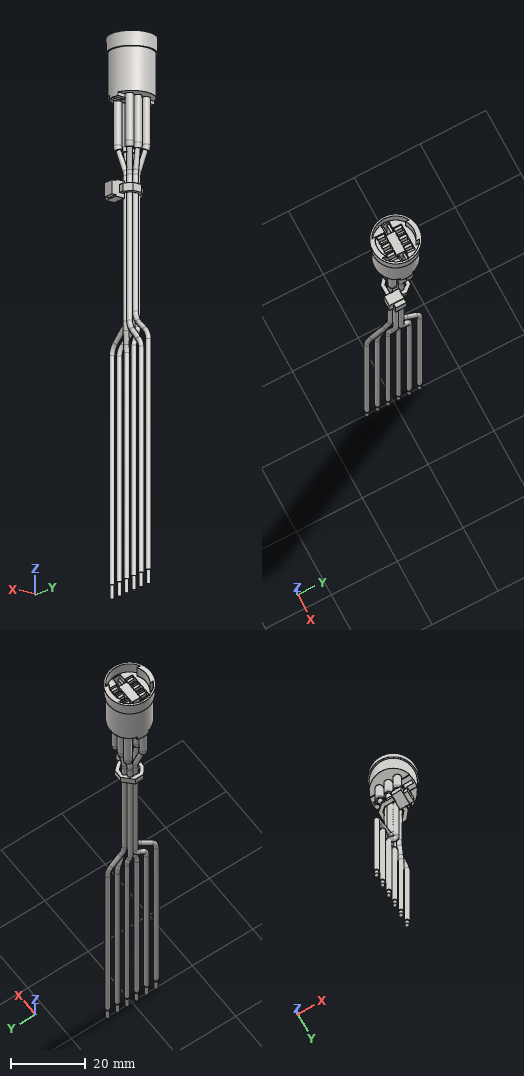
import cadquery as cq
import math

total_length = 157.1
body_diameter = 13.0
body_length = 17.0
collar_diameter = 14.0
collar_bottom_diameter = 13.8
collar_height = 4.3
lug_width = 3.8
lug_height = 1.0

cavity_radius = 6.4
cavity_depth = 4.0
key_width = 6.1
key_inner_radius = 5.5

latch_inner_x = 3.1
latch_outer_x = 6.0
latch_width = 2.4
latch_depth = 2.0
latch_hole_width = 1.0

cell_pitch = 2.8
row_offset = 2.6
cell_size = 2.4
cell_depth = 1.0
contact_slot_width = 0.8
contact_slot_depth = 6.0

wire_diameter = 1.6
seal_diameter = 2.4
conductor_diameter = 1.2
conductor_length = 4.0
wire_entry_depth = 1.5
bundle_radius = 1.62
fan_pitch = 3.2
fan_center_y = -0.75
gather_top_z = -31.2
gather_bottom_z = -38.5
gather_bend = 0.7

tie_center_z = -43.4
band_height = 2.3
band_thickness = 1.2
band_outline = [
    (-3.4, 0.55), (-3.4, -2.2), (-1.3, -4.0), (2.3, -4.0),
    (4.0, -2.3), (4.0, 1.3), (2.2, 3.4), (-0.55, 3.4),
]
head_height = 4.9
head_corner_x = 2.3
head_corner_y = -4.8
head_size_x = 3.0
head_size_y = 4.6
pawl_size_x = 1.3
pawl_size_y = 3.3
pawl_height = 4.1

hexagon_step = math.radians(60)
bundle_x = bundle_radius * math.sin(hexagon_step)
bundle_y = bundle_radius * math.cos(hexagon_step)

wires = [
    (0, -1, (0, -bundle_radius), 0, -79.6, -85.9, 2.05),
    (-1, -1, (-bundle_x, -bundle_y), 1, -81.8, -87.1, 1.8),
    (1, -1, (bundle_x, -bundle_y), 2, -81.8, -87.6, 1.2),
    (-1, 1, (-bundle_x, bundle_y), 3, -82.7, -86.9, 0.7),
    (1, 1, (bundle_x, bundle_y), 4, -82.2, -87.4, 1.4),
    (0, 1, (0, bundle_radius), 5, -80.0, -85.6, 1.9),
]


def block(x_min, x_max, y_min, y_max, z_min, z_max):
    size = (x_max - x_min, y_max - y_min, z_max - z_min)
    return cq.Workplane("XY").box(*size, centered=False).translate((x_min, y_min, z_min))


def cylinder(radius, z_min, z_max):
    return cq.Workplane("XY").workplane(offset=z_min).circle(radius).extrude(z_max - z_min)


def make_housing():
    housing = cylinder(body_diameter / 2, -body_length, 0)
    collar = cq.Workplane("XY").circle(collar_diameter / 2).workplane(offset=-collar_height)
    housing = housing.union(collar.circle(collar_bottom_diameter / 2).loft())

    lug_bottom = -body_length - lug_height
    lug = cylinder(body_diameter / 2, lug_bottom, -body_length)
    lug = lug.intersect(
        block(-body_diameter, body_diameter, -lug_width / 2, lug_width / 2, lug_bottom, -body_length)
    )
    housing = housing.union(lug)

    cavity = cylinder(cavity_radius, -cavity_depth, 0)
    keys = block(-key_width / 2, key_width / 2, -cavity_radius, cavity_radius, -cavity_depth, 0)
    keys = keys.cut(cylinder(key_inner_radius, -cavity_depth, 0))
    housing = housing.cut(cavity.cut(keys))

    for side in (-1, 1):
        x_min, x_max = sorted((side * latch_inner_x, side * latch_outer_x))
        for width, bottom in (
            (latch_width, -cavity_depth - latch_depth),
            (latch_hole_width, lug_bottom),
        ):
            housing = housing.cut(block(x_min, x_max, -width / 2, width / 2, bottom, -cavity_depth))

    for column in (-1, 0, 1):
        for row in (-1, 1):
            x = column * cell_pitch
            y = row * row_offset
            for width, depth in ((cell_size, cell_depth), (contact_slot_width, contact_slot_depth)):
                cell = cq.Workplane("XY").box(width, cell_size, depth, centered=(True, True, False))
                housing = housing.cut(cell.translate((x, y, -cavity_depth - depth)))
    return housing


def bent_path(corners, bends):
    """Straight edges and corner arcs up to the end of the last bend, and that end point.

    Each arc takes its bend length off both legs of its corner.
    """
    points = [cq.Vector(*corner) for corner in corners]
    edges = []
    position = points[0]
    for before, corner, after, bend in zip(points, points[1:], points[2:], bends):
        back = (before - corner).normalized()
        ahead = (after - corner).normalized()
        arc_start = corner + back * bend
        arc_end = corner + ahead * bend
        half_angle = back.getAngle(ahead) / 2
        corner_to_arc = bend * (1 - math.sin(half_angle)) / math.cos(half_angle)
        arc_middle = corner + (back + ahead).normalized() * corner_to_arc
        edges.append(cq.Edge.makeLine(position, arc_start))
        edges.append(cq.Edge.makeThreePointArc(arc_start, arc_middle, arc_end))
        position = arc_end
    return edges, position


def sweep_round(diameter, edges):
    """Round rod of the given diameter along connected edges."""
    start = edges[0].startPoint()
    path = cq.Wire.assembleEdges(edges)
    section = cq.Plane(origin=start, normal=path.tangentAt(0))
    return cq.Workplane(section).circle(diameter / 2).sweep(path)


def make_wire(column, row, bundle_point, place, upper_z, lower_z, fan_bend):
    contact = (column * cell_pitch, row * row_offset)
    fan = (0, fan_center_y + (place - (len(wires) - 1) / 2) * fan_pitch)
    insulation_end = -total_length + conductor_length
    corners = [
        (*contact, -body_length + wire_entry_depth),
        (*contact, gather_top_z),
        (*bundle_point, gather_bottom_z),
        (*bundle_point, upper_z),
        (*fan, lower_z),
        (*fan, insulation_end),
    ]
    edges, last_point = bent_path(corners, [gather_bend, gather_bend, fan_bend, fan_bend])
    straight_end = cq.Edge.makeLine(last_point, cq.Vector(*corners[-1]))
    seal = sweep_round(seal_diameter, edges[:2])
    wire = sweep_round(wire_diameter, edges[2:] + [straight_end])
    conductor = cylinder(conductor_diameter / 2, -total_length, insulation_end).translate((*fan, 0))
    return seal.union(wire).union(conductor)


def make_cable_tie():
    band_bottom = tie_center_z - band_height / 2
    base = cq.Workplane("XY").workplane(offset=band_bottom)
    band = base.polyline(band_outline).close().extrude(band_height)
    opening = base.polyline(band_outline).close().offset2D(-band_thickness).extrude(band_height)
    head_end_x = head_corner_x + head_size_x
    head_end_y = head_corner_y + head_size_y
    head = block(
        head_corner_x, head_end_x, head_corner_y, head_end_y,
        tie_center_z - head_height / 2, tie_center_z + head_height / 2,
    )
    pawl = block(
        head_end_x, head_end_x + pawl_size_x, head_end_y - pawl_size_y, head_end_y,
        tie_center_z - pawl_height / 2, tie_center_z + pawl_height / 2,
    )
    return band.cut(opening).union(head).union(pawl)


result = make_housing()
for wire_data in wires:
    result = result.union(make_wire(*wire_data))
result = result.union(make_cable_tie())